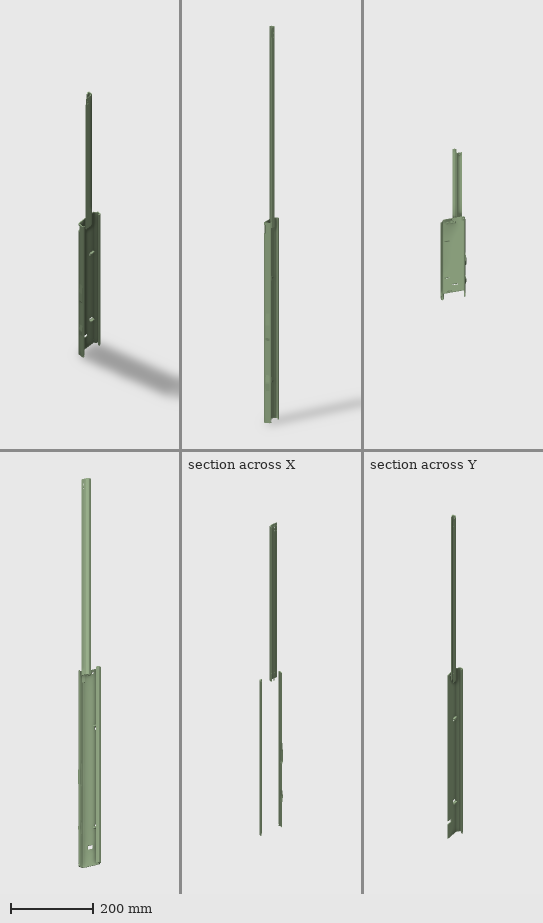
import cadquery as cq
import math

SHEET = 2.0
SLIDE_LENGTH = 985.0

CABINET_BOTTOM = 3.0
CABINET_TOP = 501.0
WEB_BACK_X = -8.0
WEB_FRONT_X = WEB_BACK_X + SHEET
FRONT_X = 11.0
LUG_X = -11.0
HOOK_TOP_Y = 32.0
HOOK_FRONT_X = 9.0
HOOK_BACK_X = -2.0
HOOK_LIP_END_Y = 25.0
SHOULDER_OUTER_Y = 28.0
SHOULDER_INNER_Y = 23.0
TROUGH_Y = -30.0
TROUGH_LIP_END_Y = -25.0
TROUGH_BEND = 3.0
TIGHT_BEND = 1.1

END_PIECE_BOTTOM = 487.0
JOINT_Z = 513.0
RAIL_TOP_Y = 2.0
RAIL_BACK_X = -2.0
RAIL_LIP_END_X = 1.0
RAIL_JOGGLE_Y = (-4.0, -6.0)
RAIL_LIP_END_Y = -8.0
RAIL_SHOULDER_X = 8.0
RAIL_SHOULDER_Y = -5.0
RAIL_LEG_END_Y = -20.0


def unit(start, end):
    """Unit vector from start to end."""
    length = math.dist(start, end)
    return ((end[0] - start[0]) / length, (end[1] - start[1]) / length)


def shifted(point, direction, distance):
    """Point moved along a direction."""
    return (point[0] + direction[0] * distance, point[1] + direction[1] * distance)


def bend_side(corner, before, after, radius, side):
    """Start, middle and end of one sheet face round a bend; side is its signed offset to the left."""
    turn = math.atan2(before[0] * after[1] - before[1] * after[0],
                      before[0] * after[0] + before[1] * after[1])
    left = (-before[1], before[0])
    start = shifted(corner, before, -radius * math.tan(abs(turn) / 2))
    inward = math.copysign(1, turn)
    centre = shifted(start, left, inward * radius)
    face_radius = radius - inward * side
    outward = (-inward * left[0], -inward * left[1])
    points = []
    for share in (0, 0.5, 1):
        angle = share * turn
        ray = (outward[0] * math.cos(angle) - outward[1] * math.sin(angle),
               outward[0] * math.sin(angle) + outward[1] * math.cos(angle))
        points.append(shifted(centre, ray, face_radius))
    return points


def folded_sheet(path, radii, bottom, top):
    """Sheet of constant thickness that follows a centre line with round bends, extruded along Z."""
    directions = [unit(a, b) for a, b in zip(path, path[1:])]
    bends = list(zip(path[1:-1], directions, directions[1:], radii))
    half = SHEET / 2

    def end_point(point, direction, side):
        return shifted(point, (-direction[1], direction[0]), side)

    outline = cq.Workplane("XY", origin=(0, 0, bottom)).moveTo(*end_point(path[0], directions[0], half))
    for bend in bends:
        start, middle, end = bend_side(*bend, half)
        outline = outline.lineTo(*start).threePointArc(middle, end)
    outline = outline.lineTo(*end_point(path[-1], directions[-1], half))
    outline = outline.lineTo(*end_point(path[-1], directions[-1], -half))
    for bend in reversed(bends):
        start, middle, end = bend_side(*bend, -half)
        outline = outline.lineTo(*end).threePointArc(middle, start)
    outline = outline.lineTo(*end_point(path[0], directions[0], -half))
    return outline.close().extrude(top - bottom)


def block(x_range, y_range, z_range):
    """Box between two limits on each axis."""
    lows, highs = zip(x_range, y_range, z_range)
    size = [high - low for low, high in zip(lows, highs)]
    return cq.Workplane("XY").box(*size, centered=False).translate(lows)


WEB_CUT_X = (WEB_BACK_X - SHEET, WEB_FRONT_X + SHEET)


def cabinet_profile():
    """Hook lip, hook, slanted shoulder, web, trough floor and trough lip in one folded sheet."""
    half = SHEET / 2
    web_x = WEB_BACK_X + half
    path = [
        (HOOK_FRONT_X - half, HOOK_LIP_END_Y),
        (HOOK_FRONT_X - half, HOOK_TOP_Y - half),
        (HOOK_BACK_X + half, HOOK_TOP_Y - half),
        (HOOK_BACK_X + half, SHOULDER_OUTER_Y),
        (web_x, SHOULDER_INNER_Y),
        (web_x, TROUGH_Y + half),
        (FRONT_X - half, TROUGH_Y + half),
        (FRONT_X - half, TROUGH_LIP_END_Y),
    ]
    radii = [TIGHT_BEND] * 4 + [TROUGH_BEND] * 2
    return folded_sheet(path, radii, CABINET_BOTTOM, CABINET_TOP)


SLOT_Y = (8.0, 20.0)
SLOT_HEIGHT = 11.0
SLOT_TAB_END_X = -1.0
SLOT_TAB_THICKNESS = 4.0
UPPER_SLOT_Z = 347.0
LOWER_SLOT_Z = 96.0


def add_lanced_slot(rail, slot_z, tab_z):
    """Slot from slot_z upwards with a folded tab from tab_z upwards."""
    slot = block(WEB_CUT_X, SLOT_Y, (slot_z, slot_z + SLOT_HEIGHT))
    tab = block((WEB_BACK_X, SLOT_TAB_END_X), SLOT_Y, (tab_z, tab_z + SLOT_TAB_THICKNESS))
    return rail.cut(slot).union(tab)


WINDOW_Y = -6.0
WINDOW_Z = 51.0
WINDOW_WIDTH = 15.0
WINDOW_HEIGHT = 10.0
END_HOLE_Y = 2.0
END_HOLE_Z = 493.0
END_HOLE_DIAMETER = 6.0


def cut_web_holes(rail):
    """Rectangular window near the bottom, and a round hole near the top."""
    web_plane = cq.Workplane("YZ", origin=(WEB_CUT_X[0], 0, 0))
    depth = WEB_CUT_X[1] - WEB_CUT_X[0]
    window = web_plane.center(WINDOW_Y, WINDOW_Z).rect(WINDOW_WIDTH, WINDOW_HEIGHT).extrude(depth)
    end_hole = web_plane.center(END_HOLE_Y, END_HOLE_Z).circle(END_HOLE_DIAMETER / 2).extrude(depth)
    return rail.cut(window).cut(end_hole)


UPPER_LUG_Y = (-8.0, 5.0)
UPPER_LUG_Z = (462.0, 475.0)
RECESS_DIAMETER = 6.0
RECESS_DEPTH = 2.0
SIDE_LUG_Y = (10.0, 15.0)
SIDE_LUG_Z = (465.0, 472.0)
LOWER_LUG_Y = (1.0, 14.0)
LOWER_LUG_Z = (6.0, 15.0)
LOWER_LUG_CREST_Z = 8.0


def add_lugs(rail):
    """Upper lug with a recess, a plain side lug, and one with a sloping upper side near the bottom."""
    for y_range, z_range in ((UPPER_LUG_Y, UPPER_LUG_Z), (SIDE_LUG_Y, SIDE_LUG_Z)):
        rail = rail.union(block((LUG_X, WEB_FRONT_X), y_range, z_range))
    recess_plane = cq.Workplane("YZ", origin=(LUG_X, sum(UPPER_LUG_Y) / 2, sum(UPPER_LUG_Z) / 2))
    rail = rail.cut(recess_plane.circle(RECESS_DIAMETER / 2).extrude(RECESS_DEPTH))
    ramp_plane = cq.Workplane("XZ", origin=(0, LOWER_LUG_Y[1], 0))
    ramp = ramp_plane.polyline([
        (WEB_FRONT_X, LOWER_LUG_Z[0]),
        (LUG_X, LOWER_LUG_Z[0]),
        (LUG_X, LOWER_LUG_CREST_Z),
        (WEB_BACK_X, LOWER_LUG_Z[1]),
        (WEB_FRONT_X, LOWER_LUG_Z[1]),
    ]).close().extrude(LOWER_LUG_Y[1] - LOWER_LUG_Y[0])
    return rail.union(ramp)


DENT_Z = (474.0, 495.0)
DENT_WEB_Y = -22.0
DENT_FLOOR_X = -2.0


def add_corner_dent(rail):
    """Replace a stretch of the trough corner by a slanted wall."""
    dent_plane = cq.Workplane("XY", origin=(0, 0, DENT_Z[0]))
    height = DENT_Z[1] - DENT_Z[0]
    corner = block((WEB_BACK_X, DENT_FLOOR_X), (TROUGH_Y, DENT_WEB_Y), DENT_Z)
    wall = dent_plane.polyline([
        (WEB_BACK_X, DENT_WEB_Y),
        (DENT_FLOOR_X, TROUGH_Y),
        (DENT_FLOOR_X, TROUGH_Y + SHEET),
        (WEB_FRONT_X, DENT_WEB_Y),
    ]).close().extrude(height)
    return rail.cut(corner).union(wall)


RIDGE_Y = -32.0
RIDGE_X = (-2.0, 8.0)
LONG_RIDGE_Z = (208.0, 215.0, 246.0, 276.0)
SHORT_RIDGE_Z = (83.0, 100.0, 104.0, 122.0)


def add_pressed_ridge(rail, stations):
    """Ridge under the floor with a matching recess in its upper face."""
    start, crest_start, crest_end, end = stations

    def ramped_block(lift, roof_y):
        points = [
            (roof_y, start),
            (TROUGH_Y + lift, start),
            (RIDGE_Y + lift, crest_start),
            (RIDGE_Y + lift, crest_end),
            (TROUGH_Y + lift, end),
            (roof_y, end),
        ]
        plane = cq.Workplane("YZ", origin=(RIDGE_X[0], 0, 0))
        return plane.polyline(points).close().extrude(RIDGE_X[1] - RIDGE_X[0])

    floor_top = TROUGH_Y + SHEET
    floor_middle = TROUGH_Y + SHEET / 2
    recess = ramped_block(SHEET, floor_top + SHEET)
    return rail.union(ramped_block(0, floor_middle)).cut(recess)


LIP_NOTCH_Z = (6.0, 10.0)
TONGUE_Y = (27.0, 29.0)


def shape_bottom_end(rail):
    """Notch in the trough lip, and a tongue that carries the hook lip down to the slide's end."""
    lip_x = (FRONT_X - SHEET, FRONT_X)
    notch = block(lip_x, (TROUGH_Y, TROUGH_LIP_END_Y), LIP_NOTCH_Z)
    tongue_x = (HOOK_FRONT_X - SHEET, HOOK_FRONT_X)
    return rail.cut(notch).union(block(tongue_x, TONGUE_Y, (0, CABINET_BOTTOM + SHEET)))


def make_cabinet_rail():
    rail = cabinet_profile()
    rail = add_lanced_slot(rail, UPPER_SLOT_Z, UPPER_SLOT_Z + SLOT_HEIGHT - SLOT_TAB_THICKNESS)
    rail = add_lanced_slot(rail, LOWER_SLOT_Z, LOWER_SLOT_Z)
    rail = cut_web_holes(rail)
    rail = add_lugs(rail)
    rail = add_corner_dent(rail)
    for stations in (LONG_RIDGE_Z, SHORT_RIDGE_Z):
        rail = add_pressed_ridge(rail, stations)
    return shape_bottom_end(rail)


def drawer_profile(bottom, top):
    """Joggled lip, top flange, slanted shoulder and leg in one folded sheet."""
    half = SHEET / 2
    path = [
        (RAIL_LIP_END_X, RAIL_LIP_END_Y),
        (RAIL_LIP_END_X, RAIL_JOGGLE_Y[1]),
        (RAIL_BACK_X + half, RAIL_JOGGLE_Y[0]),
        (RAIL_BACK_X + half, RAIL_TOP_Y - half),
        (RAIL_SHOULDER_X, RAIL_TOP_Y - half),
        (FRONT_X - half, RAIL_SHOULDER_Y),
        (FRONT_X - half, RAIL_LEG_END_Y),
    ]
    return folded_sheet(path, [TIGHT_BEND] * 5, bottom, top)


THIN_END_Z = 961.0
THIN_STEP = 0.8
TIP_Z = 977.0
TIP_STEP = 1.2
LEG_SLOT_Y = -14.0
LEG_SLOT_Z = 971.0
LEG_SLOT_SIZE = (2.0, 5.0)
LEG_HOLE_DIAMETER = 3.0


def make_drawer_rail():
    """Drawer rail with a stepped, pierced leg at its upper end."""
    rail = drawer_profile(JOINT_Z, SLIDE_LENGTH)
    leg_back_x = FRONT_X - SHEET
    leg_y = (RAIL_LEG_END_Y, RAIL_LIP_END_Y)
    for step_z, step in ((THIN_END_Z, THIN_STEP), (TIP_Z, TIP_STEP)):
        rail = rail.cut(block((leg_back_x, leg_back_x + step), leg_y, (step_z, SLIDE_LENGTH)))
    leg_plane = cq.Workplane("YZ", origin=(leg_back_x, 0, 0))
    slot = leg_plane.center(LEG_SLOT_Y, LEG_SLOT_Z).rect(*LEG_SLOT_SIZE).extrude(SHEET)
    hole = leg_plane.center(LEG_SLOT_Y, THIN_END_Z).circle(LEG_HOLE_DIAMETER / 2).extrude(SHEET)
    return rail.cut(slot).cut(hole)


def make_end_piece():
    """Short piece that carries the drawer rail's profile into the cabinet rail."""
    return drawer_profile(END_PIECE_BOTTOM, JOINT_Z)


cabinet_rail = make_cabinet_rail()
drawer_rail = make_drawer_rail()
end_piece = make_end_piece()

bodies = (cabinet_rail, drawer_rail, end_piece)
result = cq.Compound.makeCompound([body.solids().val() for body in bodies])